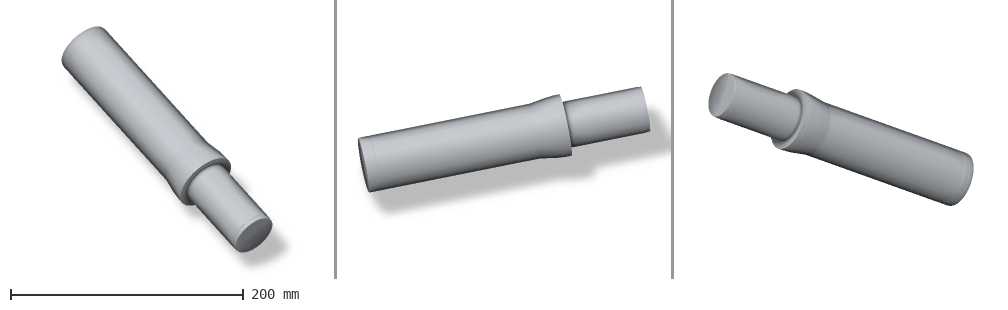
import cadquery as cq

total_length = 249.0
tip_length = 10.7
flare_start = 151.6
flare_end = 173.5
flange_end = 178.5

tip_radius = 24.03
face_outer_radius = 21.7
face_drop = 1.0
rim_width = 2.0
tip_edge_length = 1.5
tip_back_relief = 0.2
tip_back_relief_length = 1.5
dimple_radius = 12.5
dimple_depth = 1.2

holder_radius = 24.03
flange_radius = 27.02
flare_bulge = 0.5

shank_radius = 20.05
undercut_radius = 19.8
undercut_length = 1.7
end_land_start = 245.3
end_land_radius = 19.8
end_edge_start = 247.3
end_edge_drop = 0.2


def make_tip():
    """Cutting tip: bevelled disc with a convex face, conical dimple and tapered back."""
    rim_radius = face_outer_radius + rim_width
    profile = (
        cq.Workplane("XY")
        .moveTo(dimple_depth, 0)
        .lineTo(0, dimple_radius)
        .lineTo(face_drop, face_outer_radius)
        .lineTo(face_drop, rim_radius)
        .lineTo(face_drop + tip_edge_length, tip_radius)
        .lineTo(tip_length - tip_back_relief_length, tip_radius)
        .lineTo(tip_length, tip_radius - tip_back_relief)
        .lineTo(tip_length, 0)
        .close()
    )
    return profile.revolve(360, (0, 0, 0), (1, 0, 0))


def make_holder():
    """Holder: cylindrical body, bowed flare, flange and shank in one turned piece."""
    flare_middle = (
        (flare_start + flare_end) / 2,
        (holder_radius + flange_radius) / 2 + flare_bulge,
    )
    profile = (
        cq.Workplane("XY")
        .moveTo(tip_length, 0)
        .lineTo(tip_length, holder_radius)
        .lineTo(flare_start, holder_radius)
        .threePointArc(flare_middle, (flare_end, flange_radius))
        .lineTo(flange_end, flange_radius)
        .lineTo(flange_end, undercut_radius)
        .lineTo(flange_end + undercut_length, undercut_radius)
        .lineTo(flange_end + undercut_length, shank_radius)
        .lineTo(end_land_start, shank_radius)
        .lineTo(end_land_start, end_land_radius)
        .lineTo(end_edge_start, end_land_radius)
        .lineTo(total_length, end_land_radius - end_edge_drop)
        .lineTo(total_length, 0)
        .close()
    )
    return profile.revolve(360, (0, 0, 0), (1, 0, 0))


tip = make_tip()
holder = make_holder()
result = cq.Compound.makeCompound([tip.val(), holder.val()])